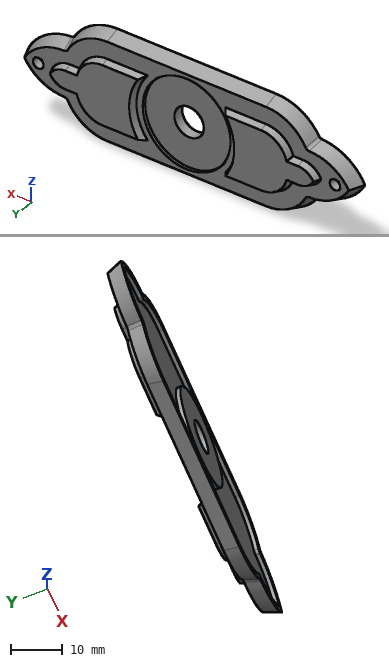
import cadquery as cq
import math

length = 80.5
height = 25.5
plate_thickness = 3.4
pad_thickness = 1.6
draft = math.tan(math.radians(20))

shoulder_x = 19.0
shoulder_radius = 12.0
tip_arc_x = 29.3
tip_radius = 12.4
corner_fillet = 1.0
corner_reach = 1.6

recess_depth = 1.0
boss_diameter = 21.0
back_recess_depth = 0.8
back_recess_diameter = boss_diameter
bore_diameter = 7.0
screw_diameter = 2.5
screw_x = 35.5

pad_height = 15.1
pad_shoulder_radius = 6.85
pad_tip_x = 32.2
pad_neck_x = 27.85
pad_neck_half_height = 2.7
pad_clearance_radius = 12.0

plate_inset = plate_thickness * draft
pad_inset = pad_thickness * draft
shoulder_z = height / 2 - shoulder_radius
tip_arc_z = -math.sqrt(tip_radius**2 - (length / 2 - tip_arc_x) ** 2)
pad_shoulder_z = pad_height / 2 - pad_shoulder_radius
pad_neck_length = pad_tip_x - pad_neck_x
pad_tip_radius = (pad_neck_length**2 / pad_neck_half_height + pad_neck_half_height) / 2
pad_tip_arc_z = pad_neck_half_height - pad_tip_radius


def arc_point(center, radius, angle):
    return (center[0] + radius * math.cos(angle), center[1] + radius * math.sin(angle))


def middle_point(center, radius, start, end):
    """Point of a circle halfway between two of its points."""
    start_angle = math.atan2(start[1] - center[1], start[0] - center[0])
    end_angle = math.atan2(end[1] - center[1], end[0] - center[0])
    return arc_point(center, radius, (start_angle + end_angle) / 2)


def circle_crossing(center_a, radius_a, center_b, radius_b):
    """Crossing of two circles that lies to the left of the line from a to b."""
    dx = center_b[0] - center_a[0]
    dz = center_b[1] - center_a[1]
    distance = math.hypot(dx, dz)
    along = (distance**2 + radius_a**2 - radius_b**2) / (2 * distance)
    across = math.sqrt(radius_a**2 - along**2)
    return (
        center_a[0] + (along * dx - across * dz) / distance,
        center_a[1] + (along * dz + across * dx) / distance,
    )


def mirrored(point, x_sign, z_sign):
    return (x_sign * point[0], z_sign * point[1])


def plane_at(y):
    """XZ plane at depth y; its normal points toward -Y."""
    return cq.Workplane("XZ", origin=(0, y, 0))


def plate_outline(y, inset):
    """Plate outline moved inward by inset, at depth y."""
    shoulder_center = (shoulder_x, shoulder_z)
    tip_center = (tip_arc_x, tip_arc_z)
    shoulder_r = shoulder_radius - inset
    tip_r = tip_radius - inset
    top = (shoulder_x, shoulder_z + shoulder_r)
    corner = circle_crossing(shoulder_center, shoulder_r, tip_center, tip_r)
    tip = (tip_arc_x + math.sqrt(tip_r**2 - tip_arc_z**2), 0)
    shoulder_middle = middle_point(shoulder_center, shoulder_r, top, corner)
    tip_middle = middle_point(tip_center, tip_r, corner, tip)

    outline = plane_at(y).moveTo(*mirrored(top, -1, 1)).lineTo(*top)
    outline = outline.threePointArc(shoulder_middle, corner).threePointArc(tip_middle, tip)
    outline = outline.threePointArc(mirrored(tip_middle, 1, -1), mirrored(corner, 1, -1))
    outline = outline.threePointArc(mirrored(shoulder_middle, 1, -1), mirrored(top, 1, -1))
    outline = outline.lineTo(*mirrored(top, -1, -1))
    outline = outline.threePointArc(mirrored(shoulder_middle, -1, -1), mirrored(corner, -1, -1))
    outline = outline.threePointArc(mirrored(tip_middle, -1, -1), mirrored(tip, -1, -1))
    outline = outline.threePointArc(mirrored(tip_middle, -1, 1), mirrored(corner, -1, 1))
    outline = outline.threePointArc(mirrored(shoulder_middle, -1, 1), mirrored(top, -1, 1))
    return outline.close().val()


def pad_outline(y, inset):
    """Outline of the right-hand pad before its inner end is cut, at depth y."""
    shoulder_r = pad_shoulder_radius - inset
    tip_r = pad_tip_radius - inset
    neck_z = pad_neck_half_height - inset
    top = (shoulder_x, pad_shoulder_z + shoulder_r)
    corner = (shoulder_x + math.sqrt(shoulder_r**2 - (neck_z - pad_shoulder_z) ** 2), neck_z)
    neck = (pad_neck_x, neck_z)
    tip = (pad_neck_x + math.sqrt(tip_r**2 - pad_tip_arc_z**2), 0)
    shoulder_middle = middle_point((shoulder_x, pad_shoulder_z), shoulder_r, top, corner)
    tip_middle = middle_point((pad_neck_x, pad_tip_arc_z), tip_r, neck, tip)

    outline = plane_at(y).moveTo(0, top[1]).lineTo(*top)
    outline = outline.threePointArc(shoulder_middle, corner).lineTo(*neck)
    outline = outline.threePointArc(tip_middle, tip)
    outline = outline.threePointArc(mirrored(tip_middle, 1, -1), mirrored(neck, 1, -1))
    outline = outline.lineTo(*mirrored(corner, 1, -1))
    outline = outline.threePointArc(mirrored(shoulder_middle, 1, -1), mirrored(top, 1, -1))
    return outline.lineTo(0, -top[1]).close().val()


def ruled_solid(front_wire, back_wire):
    """Solid with straight-line sides between two outlines of the same shape."""
    return cq.Workplane(obj=cq.Solid.makeLoft([front_wire, back_wire], True))


def fillet_corners(body):
    """Round the four concave corners, the only edges near there that run from front to back."""
    corner_x = circle_crossing(
        (shoulder_x, shoulder_z), shoulder_radius, (tip_arc_x, tip_arc_z), tip_radius
    )[0]
    for x in (-corner_x, corner_x):
        corner_zone = cq.selectors.BoxSelector(
            (x - corner_reach, 0, -height), (x + corner_reach, plate_thickness, height)
        )
        body = body.edges(corner_zone).edges("not(#Y)").fillet(corner_fillet)
    return body


def cylinder(x, diameter, y_start, y_end):
    """Cylinder along Y, centred on z = 0."""
    return plane_at(y_start).center(x, 0).circle(diameter / 2).extrude(y_start - y_end)


plate = fillet_corners(ruled_solid(plate_outline(0, 0), plate_outline(plate_thickness, plate_inset)))
recess = fillet_corners(ruled_solid(plate_outline(0, plate_inset), plate_outline(recess_depth, plate_inset)))
boss = cylinder(0, boss_diameter, 0, recess_depth)
result = plate.cut(recess).union(boss)

pad = ruled_solid(
    pad_outline(plate_thickness, 0), pad_outline(plate_thickness + pad_thickness, pad_inset)
)
clearance = cq.Workplane(
    obj=cq.Solid.makeCone(
        pad_clearance_radius,
        pad_clearance_radius + pad_inset,
        pad_thickness,
        cq.Vector(0, plate_thickness, 0),
        cq.Vector(0, 1, 0),
    )
)
pad = pad.cut(clearance)
result = result.union(pad).union(pad.mirror("YZ"))

result = result.cut(
    cylinder(0, back_recess_diameter, plate_thickness - back_recess_depth, plate_thickness)
)
result = result.cut(cylinder(0, bore_diameter, 0, plate_thickness))
for side in (-1, 1):
    result = result.cut(cylinder(side * screw_x, screw_diameter, 0, plate_thickness))